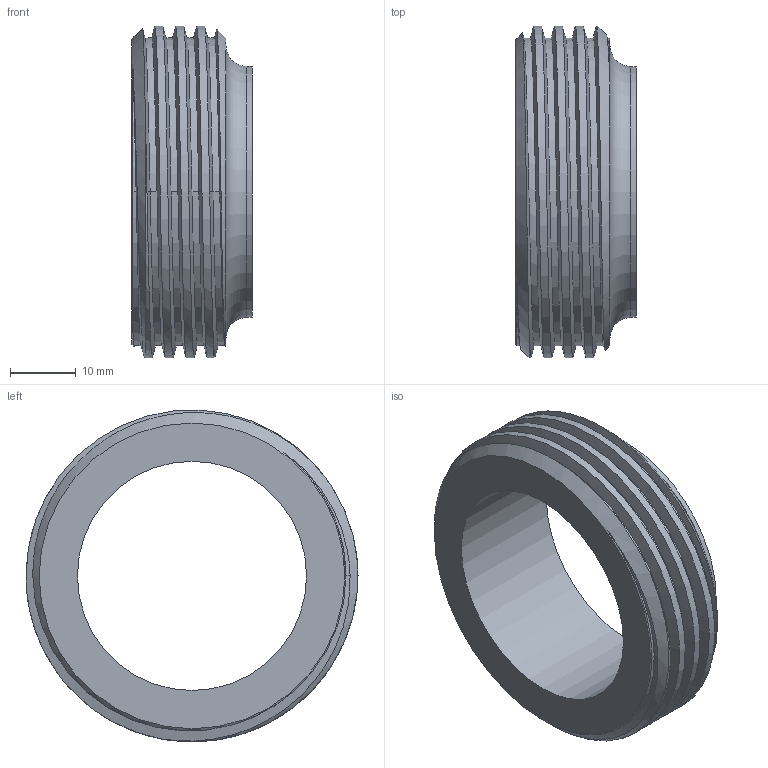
import cadquery as cq
import math

OVERALL_LENGTH = 18.256
BORE_DIAMETER = 34.8
NECK_DIAMETER = 38.1
NECK_LENGTH = 0.794
NECK_FILLET = 3.175

MAJOR_DIAMETER = 50.4
ROOT_DIAMETER = 46.74
PITCH = 3.175
FLANK_ANGLE = 14.5
CREST_WIDTH = 0.3707 * PITCH
GROOVE_AT_FRONT = 0.116
FRONT_CHAMFER_DIAMETER = 46.4
REAR_CHAMFER_DIAMETER = 46.7
CUTTER_OVERSHOOT = 0.3

major_radius = MAJOR_DIAMETER / 2
root_radius = ROOT_DIAMETER / 2
bore_radius = BORE_DIAMETER / 2
neck_radius = NECK_DIAMETER / 2
neck_start = OVERALL_LENGTH - NECK_LENGTH
shoulder_x = neck_start - NECK_FILLET
fillet_start_radius = neck_radius + NECK_FILLET


def make_blank():
    """Revolve the ring section: threaded barrel, concave fillet, neck and bore."""
    front_radius = FRONT_CHAMFER_DIAMETER / 2
    rear_radius = REAR_CHAMFER_DIAMETER / 2
    front_chamfer = major_radius - front_radius
    rear_chamfer = major_radius - rear_radius
    fillet_reach = NECK_FILLET * math.sqrt(0.5)
    fillet_middle = (neck_start - fillet_reach, fillet_start_radius - fillet_reach)
    section = (
        cq.Workplane("XY")
        .moveTo(0, bore_radius)
        .lineTo(0, front_radius)
        .lineTo(front_chamfer, major_radius)
        .lineTo(shoulder_x - rear_chamfer, major_radius)
        .lineTo(shoulder_x, rear_radius)
        .lineTo(shoulder_x, fillet_start_radius)
        .threePointArc(fillet_middle, (neck_start, neck_radius))
        .lineTo(OVERALL_LENGTH, neck_radius)
        .lineTo(OVERALL_LENGTH, bore_radius)
        .close()
    )
    return section.revolve(360, (0, 0, 0), (1, 0, 0))


def make_groove_turn():
    """Sweep one turn of the trapezoidal groove, starting on the -Y side with its centre at X = 0."""
    flank_slope = math.tan(math.radians(FLANK_ANGLE))
    cutter_radius = major_radius + CUTTER_OVERSHOOT
    crest_half = (PITCH - CREST_WIDTH) / 2
    root_half = crest_half - (major_radius - root_radius) * flank_slope
    cutter_half = crest_half + CUTTER_OVERSHOOT * flank_slope

    path = cq.Wire.makeHelix(PITCH, PITCH, root_radius)
    turn = (
        cq.Workplane("XZ")
        .polyline([
            (root_radius, -root_half),
            (cutter_radius, -cutter_half),
            (cutter_radius, cutter_half),
            (root_radius, root_half),
        ])
        .close()
        .sweep(cq.Workplane(path), isFrenet=True)
    )
    along_x = turn.rotate((0, 0, 0), (0, 1, 0), 90)
    return along_x.rotate((0, 0, 0), (1, 0, 0), -90)


def cut_thread(blank):
    """Cut the groove turn by turn, from one pitch ahead of the front face to beyond the shoulder."""
    turn = make_groove_turn()
    start = GROOVE_AT_FRONT - PITCH
    turn_count = math.ceil((shoulder_x + PITCH - start) / PITCH)
    threaded = blank
    for index in range(turn_count):
        threaded = threaded.cut(turn.translate((start + index * PITCH, 0, 0)))
    return threaded


result = cut_thread(make_blank())